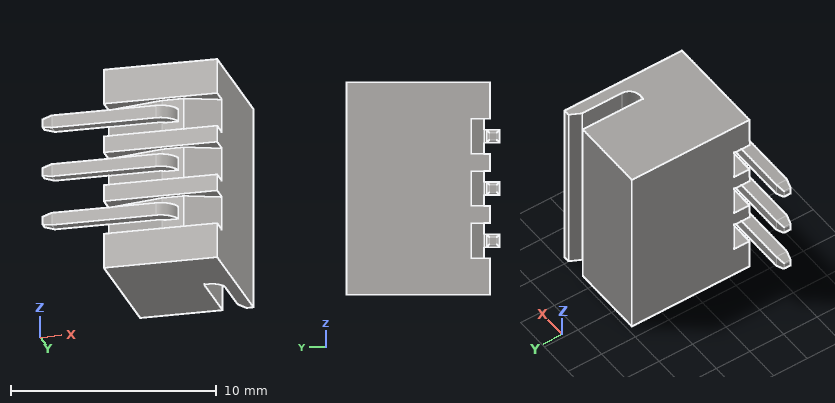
import cadquery as cq


pin_count = 3
pitch = 2.54

body_width = 5.70
body_depth = 7.0
end_margin = 2.63
body_height = (pin_count - 1) * pitch + 2 * end_margin

latch_thickness = 0.65
slot_width = 0.90
slot_depth = 3.60
slot_corner_radius = 0.65
latch_lead_in_width = 0.30
latch_lead_in_length = 0.60

pocket_height = 1.70
pocket_edge_depth = 0.92
pocket_roof_depth = 0.30
pocket_roof_start = 2.84
pocket_roof_end = 3.95

pin_size = 0.64
pin_overhang = 3.0
pin_drop = 0.46
pin_rear_x = 3.69
bend_outer_radius = 0.95
bend_inner_radius = bend_outer_radius - pin_size
pin_embed = 1.0
tip_length = 0.50
tip_size = 0.40
tip_edge_radius = 0.03

pin_heights = [(i - (pin_count - 1) / 2) * pitch for i in range(pin_count)]


def extrude_centred(profile, height, z):
    """Extrude an XY outline to the given height, centred on z."""
    return profile.extrude(height / 2, both=True).translate((0, 0, z))


def make_slot():
    """Latch slot with one rounded bottom corner and a lead-in at the latch tip."""
    latch_x = body_width - latch_thickness
    slot_x = latch_x - slot_width
    floor_y = body_depth - slot_depth
    profile = (
        cq.Workplane("XY")
        .moveTo(slot_x, body_depth)
        .lineTo(slot_x, floor_y)
        .lineTo(latch_x - slot_corner_radius, floor_y)
        .radiusArc((latch_x, floor_y + slot_corner_radius), -slot_corner_radius)
        .lineTo(latch_x, body_depth - latch_lead_in_length)
        .lineTo(latch_x + latch_lead_in_width, body_depth)
        .close()
    )
    return extrude_centred(profile, body_height, 0)


def make_pocket(z):
    """Pocket across the underside, open at both sides of the housing."""
    profile = cq.Workplane("XY").polyline([
        (0, 0),
        (0, pocket_edge_depth),
        (pocket_roof_start, pocket_roof_depth),
        (pocket_roof_end, pocket_roof_depth),
        (body_width, pocket_edge_depth),
        (body_width, 0),
    ]).close()
    return extrude_centred(profile, pocket_height, z)


def make_housing():
    housing = cq.Workplane("XY").box(body_width, body_depth, body_height, centered=(False, False, True))
    housing = housing.cut(make_slot())
    for z in pin_heights:
        housing = housing.cut(make_pocket(z))
    return housing


def make_pin(z):
    """Square pin: tapered tip with rounded end edges, straight tail, bend and upright leg."""
    tail_x = tip_length - pin_overhang
    bottom_y = -pin_drop
    top_y = bottom_y + pin_size
    front_x = pin_rear_x - pin_size
    bend_x = pin_rear_x - bend_outer_radius
    bend_y = bottom_y + bend_outer_radius
    leg_top = pocket_edge_depth + pin_embed

    profile = (
        cq.Workplane("XY")
        .moveTo(tail_x, bottom_y)
        .lineTo(bend_x, bottom_y)
        .radiusArc((pin_rear_x, bend_y), -bend_outer_radius)
        .lineTo(pin_rear_x, leg_top)
        .lineTo(front_x, leg_top)
        .lineTo(front_x, bend_y)
        .radiusArc((bend_x, top_y), bend_inner_radius)
        .lineTo(tail_x, top_y)
        .close()
    )
    shaft = extrude_centred(profile, pin_size, z)

    tip = (
        cq.Workplane("YZ", origin=(tail_x, bottom_y + pin_size / 2, z))
        .rect(pin_size, pin_size)
        .workplane(offset=-tip_length)
        .rect(tip_size, tip_size)
        .loft(ruled=True)
        .faces("<X")
        .edges()
        .fillet(tip_edge_radius)
    )
    return shaft.union(tip)


result = make_housing()
for pin_z in pin_heights:
    result = result.union(make_pin(pin_z))